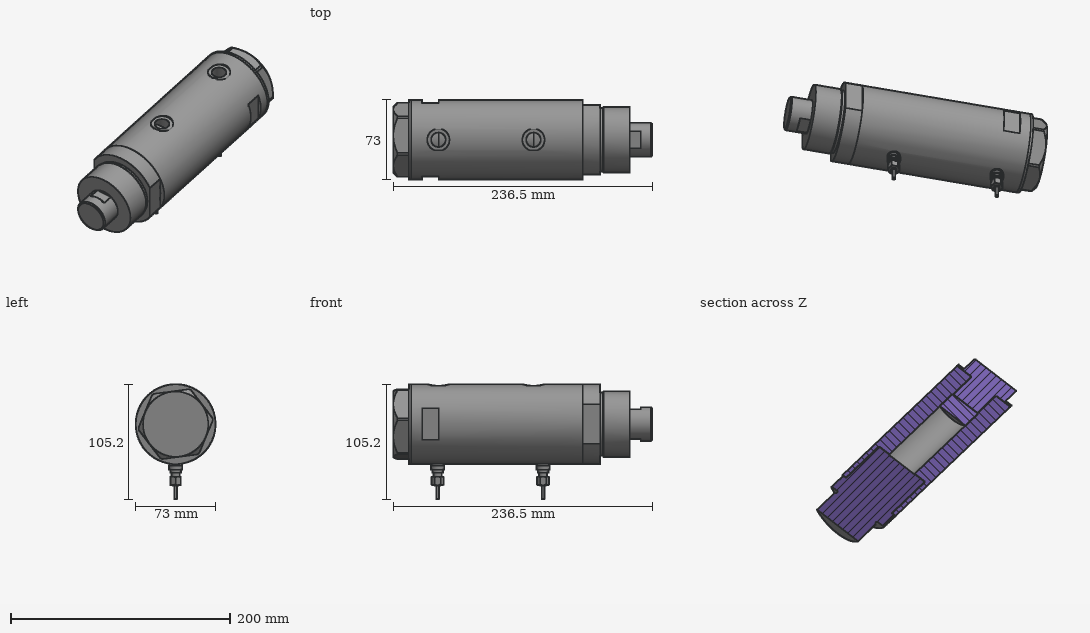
import cadquery as cq
import math


CAP_HEX_LENGTH = 14.5
CAP_FLANGE_END = 16.8
PISTON_START = 41.9
PISTON_END = 59.1
HEAD_SPIGOT_START = 128.5
BARREL_END = 173.4
COLLAR_END = 189.0
NECK_END = 191.3
RING_END = 216.2
ROD_END = 236.5

BODY_DIAMETER = 73.0
BODY_RADIUS = BODY_DIAMETER / 2
BORE_RADIUS = 22.2
HEAD_SPIGOT_RADIUS = 32.2
ROD_RADIUS = 15.5

CAP_HEX_ACROSS_FLATS = 60.0
CAP_HEX_CORNER_RADIUS = 34.0
CAP_FACE_RADIUS = 29.8
CAP_CHAMFER_LENGTH = 4.0
CAP_HEX_TURN = 7.5

WRENCH_FLAT_START = 26.5
WRENCH_FLAT_LENGTH = 15.1
WRENCH_FLAT_ACROSS = 67.2
PORT_POSITIONS = (41.5, 128.2)
PORT_RADIUS = 6.6
SPOTFACE_RADIUS = 10.2
SPOTFACE_LEVEL = 35.2

COLLAR_ACROSS_FLATS = 63.6
NECK_RADIUS = 29.0
RING_RADIUS = 30.0
RING_CHAMFER = 1.0

ROD_FLAT_END = 226.0
ROD_ACROSS_FLATS = 27.2
ROD_CHAMFER = 1.2

SENSOR_POSITIONS = (40.7, 137.0)
SENSOR_SEAT_DEPTH = 2.4
SENSOR_SEAT_RADIUS = 6.0
SENSOR_SEAT_END = 1.5
SENSOR_BODY_RADIUS = 6.1
SENSOR_BODY_END = 5.0
SENSOR_SHOULDER_RADIUS = 5.0
SENSOR_SHOULDER_END = 7.8
SENSOR_NECK_RADIUS = 3.8
SENSOR_NUT_START = 11.4
SENSOR_NUT_END = 19.2
SENSOR_NUT_ACROSS_FLATS = 9.7
SENSOR_NUT_CHAMFER = 0.7
SENSOR_GLAND_RADIUS = 2.5
SENSOR_GLAND_END = 19.9
CABLE_RADIUS = 1.5
CABLE_END = 32.2
CABLE_CHAMFER = 0.5


def corner_radius(across_flats):
    """Distance from the centre of a hexagon to its corners."""
    return across_flats / 2 / math.cos(math.radians(30))


def x_cylinder(start, end, radius):
    return cq.Workplane("YZ", origin=(start, 0, 0)).circle(radius).extrude(end - start)


def turned_about_x(outline):
    """Solid of revolution about X from (position, radius) points, closed along the axis."""
    closed = [(outline[0][0], 0), *outline, (outline[-1][0], 0)]
    return cq.Workplane("XY").polyline(closed).close().revolve(360, (0, 0, 0), (1, 0, 0))


def outside_flats(start, end, across):
    """The two blocks lying beyond a pair of flats facing -Y and +Y, to be cut from a body."""
    block_size = BODY_DIAMETER
    offset = (across + block_size) / 2
    centres = [(0, -offset), (0, offset)]
    plane = cq.Workplane("XY", origin=((start + end) / 2, 0, 0))
    return plane.pushPoints(centres).box(end - start, block_size, block_size)


def make_end_cap():
    hexagon = (
        cq.Workplane("YZ")
        .polygon(6, 2 * corner_radius(CAP_HEX_ACROSS_FLATS))
        .extrude(CAP_HEX_LENGTH)
        .rotate((0, 0, 0), (1, 0, 0), -CAP_HEX_TURN)
    )
    turned_envelope = turned_about_x([
        (0, CAP_FACE_RADIUS),
        (CAP_CHAMFER_LENGTH, CAP_HEX_CORNER_RADIUS),
        (CAP_HEX_LENGTH, CAP_HEX_CORNER_RADIUS),
    ])
    flange = x_cylinder(CAP_HEX_LENGTH, CAP_FLANGE_END, BODY_RADIUS)
    spigot = x_cylinder(CAP_FLANGE_END, PISTON_START, BORE_RADIUS)
    return hexagon.intersect(turned_envelope).union(flange).union(spigot)


def make_barrel():
    barrel = x_cylinder(CAP_FLANGE_END, BARREL_END, BODY_RADIUS)
    barrel = barrel.cut(x_cylinder(CAP_FLANGE_END, BARREL_END, BORE_RADIUS))
    barrel = barrel.cut(x_cylinder(HEAD_SPIGOT_START, BARREL_END, HEAD_SPIGOT_RADIUS))
    wrench_flat_end = WRENCH_FLAT_START + WRENCH_FLAT_LENGTH
    barrel = barrel.cut(outside_flats(WRENCH_FLAT_START, wrench_flat_end, WRENCH_FLAT_ACROSS))
    for x in PORT_POSITIONS:
        spotface = cq.Workplane("XY", origin=(x, 0, SPOTFACE_LEVEL)).circle(SPOTFACE_RADIUS)
        port = cq.Workplane("XY", origin=(x, 0, 0)).circle(PORT_RADIUS)
        barrel = barrel.cut(spotface.extrude(BODY_RADIUS)).cut(port.extrude(BODY_RADIUS))
    for x in SENSOR_POSITIONS:
        seat_floor = SENSOR_SEAT_DEPTH - BODY_RADIUS
        seat = cq.Workplane("XY", origin=(x, 0, seat_floor)).circle(SENSOR_SEAT_RADIUS)
        barrel = barrel.cut(seat.extrude(-BODY_RADIUS))
    return barrel


def make_head():
    head = turned_about_x([
        (HEAD_SPIGOT_START, HEAD_SPIGOT_RADIUS),
        (BARREL_END, HEAD_SPIGOT_RADIUS),
        (BARREL_END, BODY_RADIUS),
        (COLLAR_END, BODY_RADIUS),
        (COLLAR_END, NECK_RADIUS),
        (NECK_END, NECK_RADIUS),
        (NECK_END + RING_CHAMFER, RING_RADIUS),
        (RING_END, RING_RADIUS),
    ])
    head = head.cut(outside_flats(BARREL_END, COLLAR_END, COLLAR_ACROSS_FLATS))
    return head.cut(x_cylinder(HEAD_SPIGOT_START, RING_END, ROD_RADIUS))


def make_piston_rod():
    rod = turned_about_x([
        (PISTON_START, BORE_RADIUS),
        (PISTON_END, BORE_RADIUS),
        (PISTON_END, ROD_RADIUS),
        (ROD_END - ROD_CHAMFER, ROD_RADIUS),
        (ROD_END, ROD_RADIUS - ROD_CHAMFER),
    ])
    side_blocks = outside_flats(RING_END, ROD_FLAT_END, ROD_ACROSS_FLATS)
    return rod.cut(side_blocks.rotate((0, 0, 0), (1, 0, 0), 90))


def make_sensor(x):
    """A sensor pointing down, built with its zero depth on the lowest line of the barrel."""
    outline = [
        (0, SENSOR_SEAT_DEPTH),
        (SENSOR_SEAT_RADIUS, SENSOR_SEAT_DEPTH),
        (SENSOR_SEAT_RADIUS, -SENSOR_SEAT_END),
        (SENSOR_BODY_RADIUS, -SENSOR_SEAT_END),
        (SENSOR_BODY_RADIUS, -SENSOR_BODY_END),
        (SENSOR_SHOULDER_RADIUS, -SENSOR_BODY_END),
        (SENSOR_SHOULDER_RADIUS, -SENSOR_SHOULDER_END),
        (SENSOR_NECK_RADIUS, -SENSOR_SHOULDER_END),
        (SENSOR_NECK_RADIUS, -SENSOR_NUT_START),
        (SENSOR_GLAND_RADIUS, -SENSOR_NUT_START),
        (SENSOR_GLAND_RADIUS, -SENSOR_GLAND_END),
        (CABLE_RADIUS, -SENSOR_GLAND_END),
        (CABLE_RADIUS, CABLE_CHAMFER - CABLE_END),
        (CABLE_RADIUS - CABLE_CHAMFER, -CABLE_END),
        (0, -CABLE_END),
    ]
    stem = cq.Workplane("XZ").polyline(outline).close().revolve(360, (0, 0, 0), (0, 1, 0))
    nut_radius = corner_radius(SENSOR_NUT_ACROSS_FLATS)
    nut_length = SENSOR_NUT_END - SENSOR_NUT_START
    nut_plane = cq.Workplane("XY", origin=(0, 0, -SENSOR_NUT_END))
    nut_envelope = nut_plane.circle(nut_radius).extrude(nut_length).edges().chamfer(SENSOR_NUT_CHAMFER)
    nut = nut_plane.polygon(6, 2 * nut_radius).extrude(nut_length).intersect(nut_envelope)
    return stem.union(nut).translate((x, 0, -BODY_RADIUS))


end_cap = make_end_cap()
barrel = make_barrel()
head = make_head()
piston_rod = make_piston_rod()
sensors = [make_sensor(x) for x in SENSOR_POSITIONS]

result = cq.Compound.makeCompound([
    end_cap.val(),
    barrel.val(),
    head.val(),
    piston_rod.val(),
    *[sensor.val() for sensor in sensors],
])